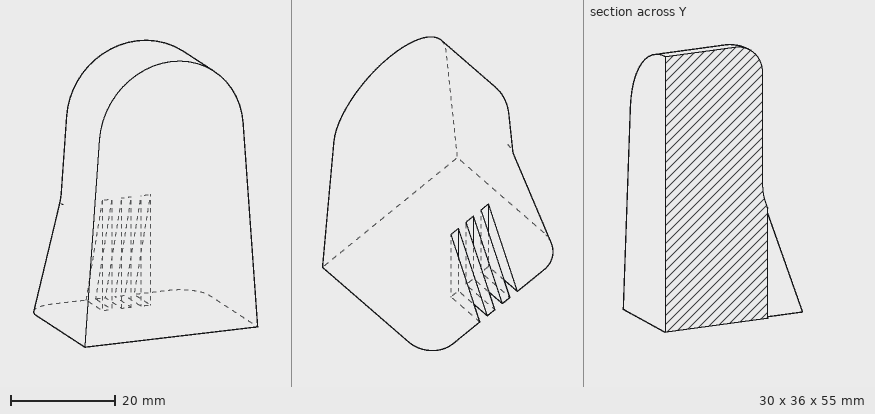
import cadquery as cq
import math

depth = 30.0
base_width = 36.0
height = 55.0

crown_radius = 15.0
crown_center_z = height - crown_radius

foot_reach = 9.0
bend_z = 24.9
bend_radius = 10.0
edge_radius = 6.0

slot_count = 3
slot_width = 2.0
slot_pitch = 4.0
slot_depth = 8.0

front_x = -depth / 2
back_x = depth / 2
upper_x = front_x + foot_reach


def tapered_body():
    """Extrude the outline whose straight sides are tangent to the round crown."""
    half_base = base_width / 2
    center_distance = math.hypot(half_base, crown_center_z)
    tangent_angle = math.acos(crown_radius / center_distance) - math.atan2(crown_center_z, half_base)
    tangent_y = crown_radius * math.cos(tangent_angle)
    tangent_z = crown_center_z + crown_radius * math.sin(tangent_angle)
    return (
        cq.Workplane("YZ", origin=(front_x, 0, 0))
        .moveTo(-half_base, 0)
        .lineTo(half_base, 0)
        .lineTo(tangent_y, tangent_z)
        .threePointArc((0, height), (-tangent_y, tangent_z))
        .close()
        .extrude(depth)
    )


def front_profile():
    """Prism across the width that gives the front face its sharp bend."""
    return (
        cq.Workplane("XZ")
        .polyline([(front_x, 0), (back_x, 0), (back_x, height), (upper_x, height), (upper_x, bend_z)])
        .close()
        .extrude(base_width / 2, both=True)
    )


def round_front_edges(body):
    """Round the whole rim of the front face, from foot to crown."""
    margin = 0.05
    rim_box = cq.selectors.BoxSelector(
        (front_x - margin, -base_width, margin),
        (upper_x + margin, base_width, height + margin),
    )
    bend_line = cq.selectors.BoxSelector(
        (upper_x - margin, -margin, bend_z - margin),
        (upper_x + margin, margin, bend_z + margin),
    )
    return body.edges(rim_box - bend_line).fillet(edge_radius)


def blend_bend(body):
    """Blend the bend, including where it wraps around the rounded rim."""
    bend_edge = cq.selectors.NearestToPointSelector((upper_x, 0, bend_z))
    return body.edges(bend_edge).fillet(bend_radius)


def slots():
    """Evenly spaced cutters, open at the front and at the base."""
    return (
        cq.Workplane("XY", origin=(front_x + slot_depth / 2, 0, 0))
        .rarray(0.55, slot_pitch, 1, slot_count)
        .rect(slot_depth, slot_width)
        .extrude(bend_z)
    )


body = tapered_body().intersect(front_profile())
result = blend_bend(round_front_edges(body)).cut(slots())